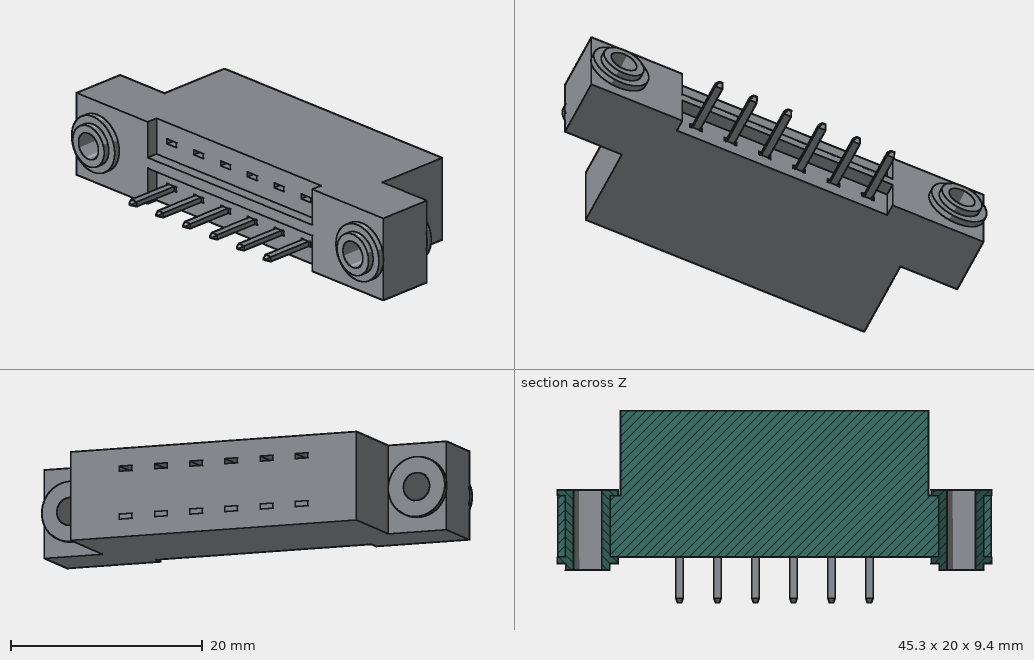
import cadquery as cq


HEIGHT = 9.4
EAR_SPAN = 45.2
EAR_DEPTH = 6.45
BODY_WIDTH = 32.12
BODY_DEPTH = 15.25

RECESS_WIDTH = 24.25
RECESS_DEPTH = 1.3
RIB_HEIGHT = 1.22

CONTACT_COUNT = 6
CONTACT_ROW_SPAN = 19.8
CONTACT_PITCH = CONTACT_ROW_SPAN / (CONTACT_COUNT - 1)
ROW_OFFSET = 2.55
SLOT_WIDTH = 1.4
SLOT_HEIGHT = 0.55

PIN_WIDTH = 0.8
PIN_LENGTH = 4.75
TIP_LENGTH = 0.5
TIP_WIDTH = 0.4
TIP_HEIGHT = 0.15

OVERALL_LENGTH = 45.3
EYELET_FLANGE_DIAMETER = 6.35
EYELET_SPACING = OVERALL_LENGTH - EYELET_FLANGE_DIAMETER
EYELET_BARREL_DIAMETER = 4.6
EYELET_BORE_DIAMETER = 2.95
FRONT_FLANGE_THICKNESS = 0.7
BACK_FLANGE_THICKNESS = 0.6
BARREL_PROTRUSION = 1.35

CONTACT_XS = [i * CONTACT_PITCH - CONTACT_ROW_SPAN / 2 for i in range(CONTACT_COUNT)]
EYELET_XS = [-EYELET_SPACING / 2, EYELET_SPACING / 2]


def block(width, height, y_start, y_end):
    """Box centred on X = 0 and Z = 0 between two Y positions."""
    depth = y_end - y_start
    return cq.Workplane("XY").box(width, depth, height).translate((0, y_start + depth / 2, 0))


def cylinder(diameter, y_start, y_end):
    """Cylinder about the Y axis between two Y positions."""
    return cq.Workplane("XZ", origin=(0, y_start, 0)).circle(diameter / 2).extrude(y_start - y_end)


def make_housing():
    housing = block(BODY_WIDTH, HEIGHT, 0, BODY_DEPTH).union(block(EAR_SPAN, HEIGHT, 0, EAR_DEPTH))

    recesses = block(RECESS_WIDTH, HEIGHT, 0, RECESS_DEPTH)
    rib = block(RECESS_WIDTH, RIB_HEIGHT, 0, RECESS_DEPTH)
    housing = housing.cut(recesses.cut(rib))

    slot = block(SLOT_WIDTH, SLOT_HEIGHT, 0, BODY_DEPTH)
    for x in CONTACT_XS:
        for z in (-ROW_OFFSET, ROW_OFFSET):
            housing = housing.cut(slot.translate((x, 0, z)))

    barrel_hole = cylinder(EYELET_BARREL_DIAMETER, 0, EAR_DEPTH)
    for x in EYELET_XS:
        housing = housing.cut(barrel_hole.translate((x, 0, 0)))
    return housing


def make_contact(x):
    half_slot = SLOT_WIDTH / 2
    half_pin = PIN_WIDTH / 2
    shoulder_y = RECESS_DEPTH + half_slot - half_pin
    pin_end_y = TIP_LENGTH - PIN_LENGTH
    outline = [
        (-half_slot, BODY_DEPTH),
        (-half_slot, shoulder_y),
        (-half_pin, RECESS_DEPTH),
        (-half_pin, pin_end_y),
        (half_pin, pin_end_y),
        (half_pin, RECESS_DEPTH),
        (half_slot, shoulder_y),
        (half_slot, BODY_DEPTH),
    ]
    blade = cq.Workplane("XY").polyline(outline).close().extrude(SLOT_HEIGHT / 2, both=True)

    tip = (
        cq.Workplane("XZ", origin=(0, pin_end_y, 0))
        .rect(PIN_WIDTH, SLOT_HEIGHT)
        .workplane(offset=TIP_LENGTH)
        .rect(TIP_WIDTH, TIP_HEIGHT)
        .loft()
    )
    return blade.union(tip).translate((x, 0, -ROW_OFFSET))


def make_eyelet(x):
    back_end = EAR_DEPTH + BACK_FLANGE_THICKNESS
    eyelet = (
        cylinder(EYELET_BARREL_DIAMETER, -BARREL_PROTRUSION, back_end)
        .union(cylinder(EYELET_FLANGE_DIAMETER, -FRONT_FLANGE_THICKNESS, 0))
        .union(cylinder(EYELET_FLANGE_DIAMETER, EAR_DEPTH, back_end))
        .cut(cylinder(EYELET_BORE_DIAMETER, -BARREL_PROTRUSION, back_end))
    )
    return eyelet.translate((x, 0, 0))


housing = make_housing()
contacts = [make_contact(x) for x in CONTACT_XS]
eyelets = [make_eyelet(x) for x in EYELET_XS]

result = cq.Compound.makeCompound([body.val() for body in [housing, *contacts, *eyelets]])